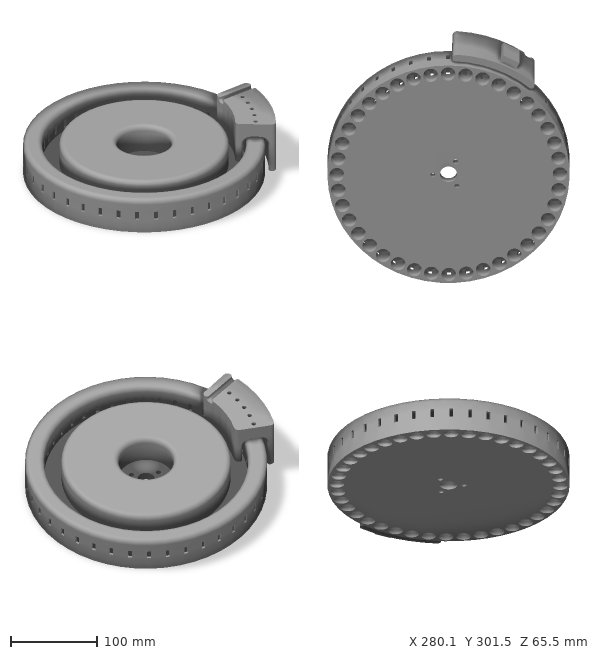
import cadquery as cq
import math

ring_radius = 140.05
ring_bore_radius = 118.05
wall_mid_radius = (ring_radius + ring_bore_radius) / 2
wall_half_width = (ring_radius - ring_bore_radius) / 2
ring_height = 42.8
hub_radius = 98.0
hub_bore_radius = 32.0
web_thickness = 13.0
hub_floor_thickness = 10.0
rim_fillet = 6.0

slot_count = 40
slot_width = 4.5
slot_height = 10.3
slot_bottom = 17.0
slot_length = 4 * wall_half_width
well_diameter = 17.0
well_top = slot_bottom + slot_height

shaft_hole_diameter = 20.0
screw_hole_diameter = 5.7
screw_circle_radius = 18.0
screw_count = 3

tunnel_clearance = 4.07
tunnel_half_width = wall_half_width + tunnel_clearance
tunnel_top = ring_height + tunnel_clearance
tunnel_fillet = rim_fillet + tunnel_clearance
tunnel_chamfer = 1.95

bracket_half_width = 23.5
bracket_inner_radius = wall_mid_radius - bracket_half_width
bracket_outer_radius = wall_mid_radius + bracket_half_width
bracket_left_angle = 105
bracket_right_angle = 65
bracket_bottom = 3.3
inner_leg_bottom = 15.0
bracket_top = 65.5
bracket_corner_fillet = 5.0

top_hole_diameter = 5.0
top_hole_count = 5
top_hole_pitch = 6.6
top_hole_middle_angle = 81.2

groove_width = 7.0
groove_depth = 4.0
groove_fillet = 1.8
groove_end_chamfer = 1.95
groove_angle = 103.6
groove_offset = 9.0
groove_overrun = 3.0

lug_width = 20.8
lug_bottom = 8.0
lug_top = 48.8
lug_end = 161.45
lug_slope_height = 7.0
lug_base_fillet = 1.0
lug_embed = 3.0


def polar(radius, angle):
    a = math.radians(angle)
    return (radius * math.cos(a), radius * math.sin(a))


def make_ring():
    body = cq.Workplane("XY").circle(ring_radius).extrude(ring_height)
    trough = (
        cq.Workplane("XY").workplane(offset=web_thickness)
        .circle(ring_bore_radius).circle(hub_radius).extrude(ring_height)
    )
    bore = (
        cq.Workplane("XY").workplane(offset=hub_floor_thickness)
        .circle(hub_bore_radius).extrude(ring_height)
    )
    body = body.cut(trough).cut(bore)
    body = body.faces(">Z").edges().fillet(rim_fillet)
    body = body.cut(cq.Workplane("XY").circle(shaft_hole_diameter / 2).extrude(ring_height))
    screw_holes = (
        cq.Workplane("XY")
        .polarArray(screw_circle_radius, 90, 360, screw_count)
        .circle(screw_hole_diameter / 2).extrude(ring_height)
    )
    body = body.cut(screw_holes)
    slots = (
        cq.Workplane("XY").workplane(offset=slot_bottom)
        .polarArray(wall_mid_radius, 0, 360, slot_count)
        .rect(slot_length, slot_width).extrude(slot_height)
    )
    wells = (
        cq.Workplane("XY")
        .polarArray(wall_mid_radius, 0, 360, slot_count)
        .circle(well_diameter / 2).extrude(well_top)
    )
    return body.cut(slots).cut(wells)


def make_bracket_block():
    """Ring sector with rounded upright corners and a shortened inner leg."""
    middle_angle = (bracket_left_angle + bracket_right_angle) / 2
    block = (
        cq.Workplane("XY").workplane(offset=bracket_bottom)
        .moveTo(*polar(bracket_outer_radius, bracket_left_angle))
        .threePointArc(
            polar(bracket_outer_radius, middle_angle),
            polar(bracket_outer_radius, bracket_right_angle),
        )
        .lineTo(*polar(bracket_inner_radius, bracket_right_angle))
        .threePointArc(
            polar(bracket_inner_radius, middle_angle),
            polar(bracket_inner_radius, bracket_left_angle),
        )
        .close().extrude(bracket_top - bracket_bottom)
    )
    block = block.edges("|Z").fillet(bracket_corner_fillet)
    below_inner_leg = cq.Workplane("XY").circle(wall_mid_radius).extrude(inner_leg_bottom)
    return block.cut(below_inner_leg)


def add_lug(block):
    """Key on the outer wall: sloping top, and base flared into the wall."""
    half_width = lug_width / 2
    lug_root = bracket_outer_radius - lug_embed
    flare_x = half_width + lug_base_fillet
    flare_y = math.sqrt((bracket_outer_radius + lug_base_fillet) ** 2 - flare_x**2)
    wall_ratio = bracket_outer_radius / (bracket_outer_radius + lug_base_fillet)
    wall_x = flare_x * wall_ratio
    wall_y = flare_y * wall_ratio
    plan = (
        cq.Workplane("XY").workplane(offset=lug_bottom)
        .moveTo(-wall_x, wall_y)
        .radiusArc((-half_width, flare_y), lug_base_fillet)
        .lineTo(-half_width, lug_end)
        .lineTo(half_width, lug_end)
        .lineTo(half_width, flare_y)
        .radiusArc((wall_x, wall_y), lug_base_fillet)
        .lineTo(half_width, lug_root)
        .lineTo(-half_width, lug_root)
        .close().extrude(bracket_top - lug_bottom)
    )
    slope = lug_slope_height / (lug_end - bracket_outer_radius)
    profile = (
        cq.Workplane("YZ")
        .moveTo(lug_root, lug_bottom)
        .lineTo(lug_end, lug_bottom)
        .lineTo(lug_end, lug_top - lug_slope_height)
        .lineTo(lug_root, lug_top + slope * lug_embed)
        .close().extrude(lug_width, both=True)
    )
    return block.union(plan.intersect(profile))


def cut_tunnel(block):
    """Channel over the ring wall, clear of it by the same gap all round."""
    channel = (
        cq.Workplane("XY")
        .circle(wall_mid_radius + tunnel_half_width)
        .circle(wall_mid_radius - tunnel_half_width)
        .extrude(tunnel_top)
        .faces(">Z").edges().fillet(tunnel_fillet)
    )
    mouth = (
        cq.Workplane("XZ").center(wall_mid_radius, 0)
        .sketch()
        .rect(2 * (tunnel_half_width + tunnel_chamfer), 2 * (tunnel_top + tunnel_chamfer))
        .vertices().fillet(tunnel_fillet + tunnel_chamfer)
        .finalize()
        .extrude(-tunnel_chamfer, taper=45)
    )
    right_mouth = mouth.rotate((0, 0, 0), (0, 0, 1), bracket_right_angle)
    left_mouth = mouth.mirror("XZ").rotate((0, 0, 0), (0, 0, 1), bracket_left_angle)
    return block.cut(channel).cut(right_mouth).cut(left_mouth)


def cut_top_holes(block):
    """Row of holes above the ring wall, from the top down into the tunnel."""
    first_angle = top_hole_middle_angle - top_hole_pitch * (top_hole_count - 1) / 2
    for i in range(top_hole_count):
        x, y = polar(wall_mid_radius, first_angle + i * top_hole_pitch)
        hole = (
            cq.Workplane("XY").workplane(offset=ring_height).center(x, y)
            .circle(top_hole_diameter / 2).extrude(bracket_top)
        )
        block = block.cut(hole)
    return block


def groove_prism(start, length, growth, taper=0):
    """Groove section, grown by the given amount, swept along +X beside the XZ plane."""
    return (
        cq.Workplane("YZ").workplane(offset=start).center(-groove_offset, bracket_top)
        .sketch()
        .rect(groove_width + 2 * growth, 2 * (groove_depth + growth))
        .vertices().fillet(groove_fillet + growth)
        .finalize()
        .extrude(length, taper=taper)
    )


def cut_groove(block):
    """Groove across the top, flared where it runs out."""
    inner_end = math.sqrt(bracket_inner_radius**2 - groove_offset**2)
    outer_end = math.sqrt(bracket_outer_radius**2 - groove_offset**2)
    flare = groove_end_chamfer
    start = inner_end - groove_overrun
    cutters = (
        groove_prism(start, outer_end + groove_overrun - start, 0),
        groove_prism(start, groove_overrun, flare),
        groove_prism(inner_end, flare, flare, 45),
        groove_prism(outer_end, groove_overrun, flare),
        groove_prism(outer_end, -flare, flare, 45),
    )
    for cutter in cutters:
        block = block.cut(cutter.rotate((0, 0, 0), (0, 0, 1), groove_angle))
    return block


def make_bracket():
    body = add_lug(make_bracket_block())
    body = cut_tunnel(body)
    body = cut_top_holes(body)
    return cut_groove(body)


ring = make_ring()
bracket = make_bracket()
result = cq.Compound.makeCompound([ring.val(), bracket.val()])